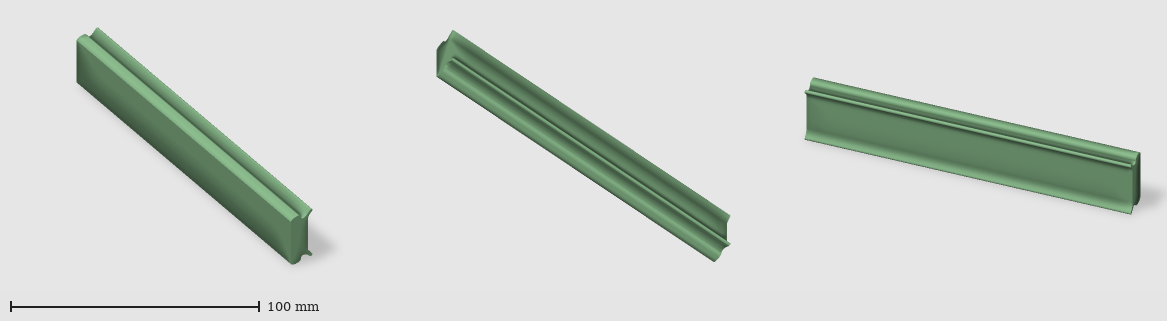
import cadquery as cq
import math

length = 140.0
depth = 11.0
height = 25.0
top = height / 2

back_face = 8.8
front_round_depth = 2.4
front_round_drop = 1.3

lip_radius = 1.5
lip_back = 5.2

groove_radius = 1.0
groove_floor = top - 2.7

fin_angle = math.radians(45)
tip_radius = 0.7
root_radius = 3.4


def half_profile():
    """Cross-section in the YZ plane above Z = 0, drawn from the back face round to the front."""
    slope_cos = math.cos(fin_angle)
    slope_sin = math.sin(fin_angle)
    slope = math.tan(fin_angle)
    tip_y = depth - tip_radius
    tip_z = top - tip_radius

    underside_tip = (tip_y + tip_radius * slope_sin, tip_z - tip_radius * slope_cos)
    upper_tip = (tip_y - tip_radius * slope_sin, tip_z + tip_radius * slope_cos)
    tip_end = (tip_y + tip_radius * slope_cos, tip_z + tip_radius * slope_sin)

    root_end_y = back_face + root_radius * (1 - slope_sin)
    root_end_z = underside_tip[1] - (underside_tip[0] - root_end_y) * slope
    root_start_z = root_end_z - root_radius * slope_cos

    valley_start_y = lip_back + groove_radius
    fin_foot_y = upper_tip[0] - (upper_tip[1] - groove_floor) / slope
    tangent_length = fin_foot_y - valley_start_y
    valley_end = (fin_foot_y + tangent_length * slope_cos, groove_floor + tangent_length * slope_sin)

    return (
        cq.Workplane("YZ")
        .lineTo(back_face, 0)
        .lineTo(back_face, root_start_z)
        .tangentArcPoint((root_end_y, root_end_z), relative=False)
        .lineTo(*underside_tip)
        .threePointArc(tip_end, upper_tip)
        .lineTo(*valley_end)
        .tangentArcPoint((valley_start_y, groove_floor), relative=False)
        .tangentArcPoint((lip_back, groove_floor + groove_radius), relative=False)
        .lineTo(lip_back, top - lip_radius)
        .tangentArcPoint((lip_back - lip_radius, top), relative=False)
        .lineTo(front_round_depth, top)
        .tangentArcPoint((0, top - front_round_drop), relative=False)
        .close()
    )


upper_half = half_profile().extrude(length)
result = upper_half.union(upper_half.mirror("XY")).clean()